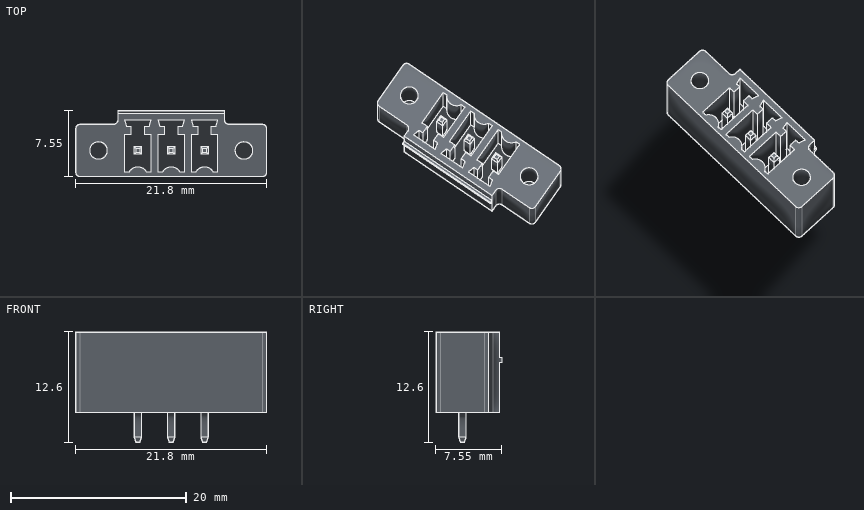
import cadquery as cq

pitch = 3.81
pin_count = 3
flange_centre_offset = 4.5
flange_end_offset = 7.1
housing_height = 9.2
front_y = -3.0
flange_back_y = 3.0
housing_back_y = 4.25
raised_back_width = 12.2
corner_radius = 0.5

rib_depth = 0.3
rib_height = 0.6
rib_bottom_z = 5.7

screw_hole_diameter = 2.0
screw_hole_depth = 8.0

chamber_depth = 8.0
chamber_half_width = 1.5
chamber_front_y = -2.47
chamber_shoulder_y = 1.8
neck_half_width = 0.76
dovetail_front_y = 2.72
dovetail_back_y = 3.51
dovetail_front_half_width = 1.28
scallop_half_width = 1.0
scallop_rise = 0.6

pin_width = 0.86
pin_tip_width = 0.46
pin_tip_length = 0.6
pin_bottom_z = -3.4
pin_top_z = 7.8

outer_pin_x = pitch * (pin_count - 1) / 2
pin_xs = [i * pitch - outer_pin_x for i in range(pin_count)]
half_length = outer_pin_x + flange_end_offset
screw_x = outer_pin_x + flange_centre_offset


def block(width, y_min, y_max, height):
    """Box centred on X = 0, standing on Z = 0."""
    depth = y_max - y_min
    return cq.Workplane("XY", origin=(0, y_min, 0)).box(width, depth, height, centered=(True, False, False))


def make_housing():
    """Flanged housing with a raised back section and rounded upright edges."""
    half_back = raised_back_width / 2
    flange = block(2 * half_length, front_y, flange_back_y, housing_height)
    flange = flange.edges("|Z").fillet(corner_radius)
    raised_back = block(raised_back_width, front_y, housing_back_y, housing_height)
    housing = flange.union(raised_back)
    for x in (-half_back, half_back):
        inner_corner = cq.selectors.NearestToPointSelector((x, flange_back_y, housing_height / 2))
        housing = housing.edges(inner_corner).fillet(corner_radius)
    return housing


def make_rib():
    """Rib across the full width of the raised back section, rooted in its back wall."""
    rib_root_y = housing_back_y - rib_depth
    rib = block(raised_back_width, rib_root_y, housing_back_y + rib_depth, rib_height)
    return rib.translate((0, 0, rib_bottom_z))


def make_screw_holes():
    """Blind holes opening on the top face of both flanges."""
    return (
        cq.Workplane("XY", origin=(0, 0, housing_height))
        .pushPoints([(-screw_x, 0), (screw_x, 0)])
        .circle(screw_hole_diameter / 2)
        .extrude(-screw_hole_depth)
    )


def make_chamber(x):
    """Contact chamber: dovetail at the back, narrow neck, and a scalloped front wall."""
    return (
        cq.Workplane("XY", origin=(x, 0, housing_height))
        .moveTo(-chamber_half_width, chamber_front_y)
        .lineTo(-scallop_half_width, chamber_front_y)
        .threePointArc((0, chamber_front_y + scallop_rise), (scallop_half_width, chamber_front_y))
        .lineTo(chamber_half_width, chamber_front_y)
        .lineTo(chamber_half_width, chamber_shoulder_y)
        .lineTo(neck_half_width, chamber_shoulder_y)
        .lineTo(neck_half_width, dovetail_front_y)
        .lineTo(dovetail_front_half_width, dovetail_front_y)
        .lineTo(chamber_half_width, dovetail_back_y)
        .lineTo(-chamber_half_width, dovetail_back_y)
        .lineTo(-dovetail_front_half_width, dovetail_front_y)
        .lineTo(-neck_half_width, dovetail_front_y)
        .lineTo(-neck_half_width, chamber_shoulder_y)
        .lineTo(-chamber_half_width, chamber_shoulder_y)
        .close()
        .extrude(-chamber_depth)
    )


def make_pin(x):
    """Square pin through the chamber floor, tapered at both ends."""
    shank_bottom_z = pin_bottom_z + pin_tip_length
    shank_top_z = pin_top_z - pin_tip_length
    pin = (
        cq.Workplane("XY", origin=(x, 0, shank_bottom_z))
        .rect(pin_width, pin_width)
        .extrude(shank_top_z - shank_bottom_z)
    )
    for shank_end_z, tip_z in ((shank_bottom_z, pin_bottom_z), (shank_top_z, pin_top_z)):
        tip = (
            cq.Workplane("XY", origin=(x, 0, shank_end_z))
            .rect(pin_width, pin_width)
            .workplane(offset=tip_z - shank_end_z)
            .rect(pin_tip_width, pin_tip_width)
            .loft(ruled=True)
        )
        pin = pin.union(tip)
    return pin


connector = make_housing().union(make_rib()).cut(make_screw_holes())
for pin_x in pin_xs:
    connector = connector.cut(make_chamber(pin_x))
    connector = connector.union(make_pin(pin_x))

result = connector